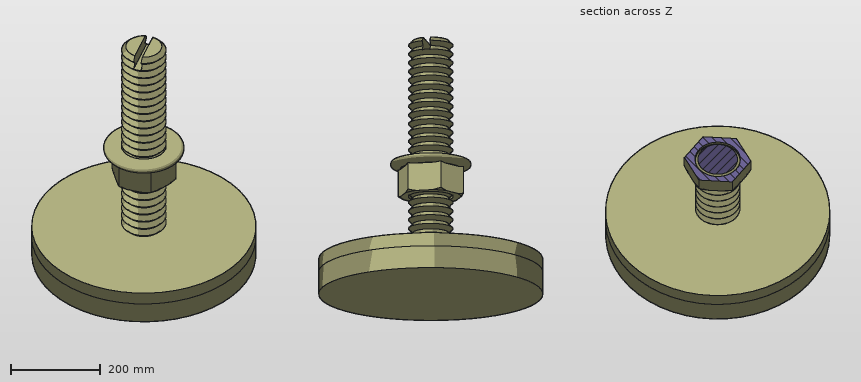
import cadquery as cq
import math

total_height = 580.0
foot_diameter = 500.0
pad_height = 50.0
plate_height = 30.0

ridge_count = 25
crest_diameter = 100.0
thread_depth = 10.0
slot_width = 17.5
slot_depth = 30.0

nut_top = 303.5
nut_height = 80.0
hex_across_corners = 149.5
hex_chamfer_angle = 30.0
hex_face_diameter = 134.5
flange_diameter = 180.0
rim_height = 12.0
flange_height = 17.5
flange_root_diameter = 137.0

plate_bottom = pad_height
stud_bottom = pad_height + plate_height
nut_bottom = nut_top - nut_height


def make_disc(bottom, height):
    """Plain round layer of the foot."""
    return cq.Workplane("XY").workplane(offset=bottom).circle(foot_diameter / 2).extrude(height)


def revolve_about_z(profile):
    """Full turn about Z of a closed profile drawn in the XZ plane."""
    return profile.close().revolve(360, (0, 0, 0), (0, 1, 0))


def make_stud_blank():
    """Stud of stacked V-shaped ridges, without the driver slot."""
    crest_radius = crest_diameter / 2
    root_radius = crest_radius - thread_depth
    pitch = (total_height - stud_bottom) / ridge_count
    profile = cq.Workplane("XZ").moveTo(0, stud_bottom).lineTo(root_radius, stud_bottom)
    for ridge in range(ridge_count):
        ridge_bottom = stud_bottom + ridge * pitch
        profile = profile.lineTo(crest_radius, ridge_bottom + pitch / 2)
        profile = profile.lineTo(root_radius, ridge_bottom + pitch)
    return revolve_about_z(profile.lineTo(0, total_height))


def cut_driver_slot(stud):
    """Screwdriver slot across the top of the stud, running along Y."""
    slot = (
        cq.Workplane("XY")
        .workplane(offset=total_height - slot_depth)
        .rect(slot_width, crest_diameter)
        .extrude(slot_depth)
    )
    return stud.cut(slot)


def make_hex():
    """Hexagon with corners on X, its bottom corners turned to a cone."""
    corner_radius = hex_across_corners / 2
    face_radius = hex_face_diameter / 2
    chamfer_rise = (corner_radius - face_radius) * math.tan(math.radians(hex_chamfer_angle))
    prism = (
        cq.Workplane("XY")
        .workplane(offset=nut_bottom)
        .polygon(6, hex_across_corners)
        .extrude(nut_height)
    )
    turned_envelope = revolve_about_z(
        cq.Workplane("XZ")
        .moveTo(0, nut_bottom)
        .lineTo(face_radius, nut_bottom)
        .lineTo(corner_radius, nut_bottom + chamfer_rise)
        .lineTo(corner_radius, nut_top)
        .lineTo(0, nut_top)
    )
    return prism.intersect(turned_envelope)


def make_flange():
    """Round flange with a half-round rim and a conical underside."""
    rim_radius = rim_height / 2
    top_radius = flange_diameter / 2 - rim_radius
    rim_bottom = nut_top - rim_height
    return revolve_about_z(
        cq.Workplane("XZ")
        .moveTo(0, nut_top - flange_height)
        .lineTo(flange_root_diameter / 2, nut_top - flange_height)
        .lineTo(top_radius, rim_bottom)
        .threePointArc((flange_diameter / 2, nut_top - rim_radius), (top_radius, nut_top))
        .lineTo(0, nut_top)
    )


def make_nut():
    """Flanged nut with a plain bore that touches the ridge crests of the stud."""
    bore = (
        cq.Workplane("XY")
        .workplane(offset=nut_bottom)
        .circle(crest_diameter / 2)
        .extrude(nut_height)
    )
    return make_hex().union(make_flange()).cut(bore)


pad = make_disc(0, pad_height)
plate = make_disc(plate_bottom, plate_height)
stud = cut_driver_slot(make_stud_blank())
nut = make_nut()

result = cq.Compound.makeCompound([pad.val(), plate.val(), *stud.solids().vals(), *nut.solids().vals()])